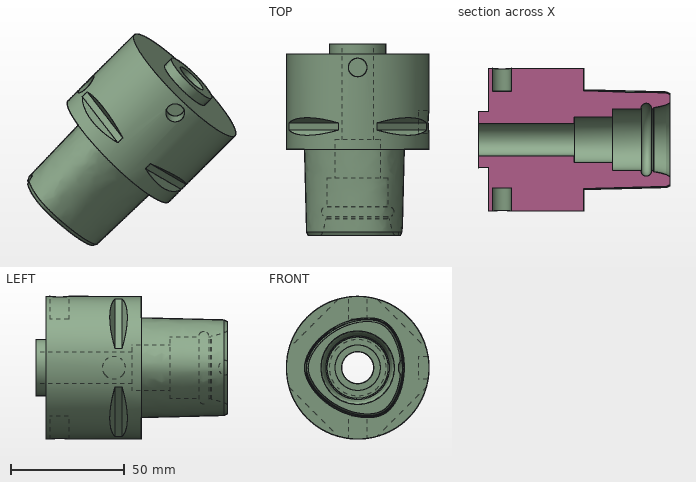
import cadquery as cq
import math

body_diameter = 63.0
body_length = 42.0
boss_diameter = 24.9
boss_length = 4.4
shank_length = 38.0
body_radius = body_diameter / 2

polygon_radius = 22.0
lobe_height = 1.4
taper_ratio = 1 / 40
tip_chamfer_length = 1.6
tip_chamfer_radial = 0.8
polygon_points = 36

mouth_diameter = 32.4
mouth_chamfer_length = 1.7
entry_diameter = 30.55
cone_end_diameter = 28.0
cone_end_depth = 7.2
lip_diameter = 26.9
lip_start_depth = 7.6
groove_diameter = 32.0
groove_start_depth = 8.3
groove_end_depth = 12.7
chamber_depth = 25.3
inner_bore_diameter = 20.0
inner_bore_depth = 42.2
through_diameter = 14.0

slot_position = 10.05
slot_floor_width = 3.1
slot_floor_radius = 27.4
slot_wall_angle = 30.0

radial_hole_diameter = 8.2
radial_hole_position = 36.0
radial_hole_depth = 10.1

notch_diameter = 10.05
notch_floor_x = 17.9

chip_hole_diameter = 10.05
chip_hole_depth = 4.6
chip_hole_position = 12.1


def polygon_wire(y, mean_radius):
    """Closed three-lobed curve in the plane at height y, one lobe pointing to -X."""
    points = []
    for i in range(polygon_points):
        t = 2 * math.pi * i / polygon_points
        x = mean_radius * math.cos(t) + lobe_height * (2 * math.cos(2 * t) - math.cos(4 * t))
        z = mean_radius * math.sin(t) - lobe_height * (2 * math.sin(2 * t) + math.sin(4 * t))
        points.append(cq.Vector(-x, y, z))
    return cq.Wire.assembleEdges([cq.Edge.makeSpline(points, periodic=True)])


def polygon_frustum(y_start, radius_start, y_end, radius_end):
    wires = [polygon_wire(y_start, radius_start), polygon_wire(y_end, radius_end)]
    return cq.Workplane(obj=cq.Solid.makeLoft(wires, True))


def make_shank():
    chamfer_start = shank_length - tip_chamfer_length
    chamfer_radius = polygon_radius - chamfer_start * taper_ratio
    taper = polygon_frustum(0, polygon_radius, -chamfer_start, chamfer_radius)
    tip = polygon_frustum(-chamfer_start, chamfer_radius, -shank_length, chamfer_radius - tip_chamfer_radial)
    return taper.union(tip)


def make_body():
    back = cq.Workplane("XZ", origin=(0, body_length, 0))
    body = back.circle(body_radius).extrude(body_length)
    boss = back.circle(boss_diameter / 2).extrude(-boss_length)
    return body.union(boss)


def make_bore():
    tip = -shank_length
    back = body_length + boss_length
    groove_middle = tip + (groove_start_depth + groove_end_depth) / 2
    profile = cq.Workplane("XY").moveTo(0, tip)
    profile = profile.lineTo(mouth_diameter / 2, tip)
    profile = profile.lineTo(entry_diameter / 2, tip + mouth_chamfer_length)
    profile = profile.lineTo(cone_end_diameter / 2, tip + cone_end_depth)
    profile = profile.lineTo(lip_diameter / 2, tip + lip_start_depth)
    profile = profile.lineTo(lip_diameter / 2, tip + groove_start_depth)
    profile = profile.threePointArc(
        (groove_diameter / 2, groove_middle),
        (lip_diameter / 2, tip + groove_end_depth),
    )
    profile = profile.lineTo(lip_diameter / 2, tip + chamber_depth)
    profile = profile.lineTo(inner_bore_diameter / 2, tip + chamber_depth)
    profile = profile.lineTo(inner_bore_diameter / 2, tip + inner_bore_depth)
    profile = profile.lineTo(through_diameter / 2, tip + inner_bore_depth)
    profile = profile.lineTo(through_diameter / 2, back)
    profile = profile.lineTo(0, back).close()
    return profile.revolve(360, (0, 0, 0), (0, 1, 0))


def make_slot(angle):
    """Trapezoidal cutter across the body, turned about the Y axis."""
    outer_radius = body_radius + 0.85
    half_floor = slot_floor_width / 2
    half_mouth = half_floor + (outer_radius - slot_floor_radius) * math.tan(math.radians(slot_wall_angle))
    section = [
        (slot_position - half_floor, slot_floor_radius),
        (slot_position + half_floor, slot_floor_radius),
        (slot_position + half_mouth, outer_radius),
        (slot_position - half_mouth, outer_radius),
    ]
    slot = cq.Workplane("YZ").polyline(section).close().extrude(body_radius, both=True)
    return slot.rotate((0, 0, 0), (0, 1, 0), angle)


def make_radial_hole(diameter, depth, position, angle):
    """Flat-bottomed hole from the body surface; angle 0 is +Z and 90 is +X."""
    hole = cq.Workplane("XY", origin=(0, position, body_radius - depth)).circle(diameter / 2)
    return hole.extrude(depth).rotate((0, 0, 0), (0, 1, 0), angle)


def make_notch():
    center_x = notch_floor_x + notch_diameter / 2
    return cq.Workplane("XY", origin=(center_x, -shank_length, 0)).sphere(notch_diameter / 2)


result = make_body().union(make_shank()).cut(make_bore()).cut(make_notch())
result = result.cut(make_radial_hole(chip_hole_diameter, chip_hole_depth, chip_hole_position, 90))
for slot_angle in (45, 135, 225, 315):
    result = result.cut(make_slot(slot_angle))
for hole_angle in (0, 180):
    result = result.cut(
        make_radial_hole(radial_hole_diameter, radial_hole_depth, radial_hole_position, hole_angle)
    )